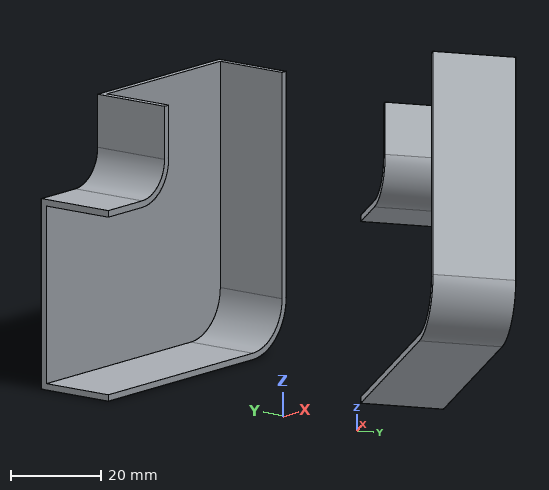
import cadquery as cq

overall_size = 63.6
depth = 19.0
wall = 1.5
arm_width = 43.5
inner_bend_radius = 8.0
outer_bend_radius = 12.0

notch_size = overall_size - arm_width


def elbow_prism(inset, length):
    """Rounded L extruded toward -Y from the back face, its bend walls moved inward by inset.

    The arm ends are not inset, so a cavity made this way runs out through both of them.
    """
    notch = notch_size + inset
    far_side = overall_size - inset
    inner_radius = inner_bend_radius + inset
    outer_radius = outer_bend_radius - inset

    notch_z = overall_size - notch
    floor_z = inset
    return (
        cq.Workplane("XZ")
        .moveTo(0, floor_z)
        .lineTo(far_side - outer_radius, floor_z)
        .radiusArc((far_side, floor_z + outer_radius), -outer_radius)
        .lineTo(far_side, overall_size)
        .lineTo(notch, overall_size)
        .lineTo(notch, notch_z + inner_radius)
        .radiusArc((notch - inner_radius, notch_z), inner_radius)
        .lineTo(0, notch_z)
        .close()
        .extrude(length)
    )


body = elbow_prism(0, depth)
cavity = elbow_prism(wall, depth - wall).translate((0, -wall, 0))

result = body.cut(cavity)